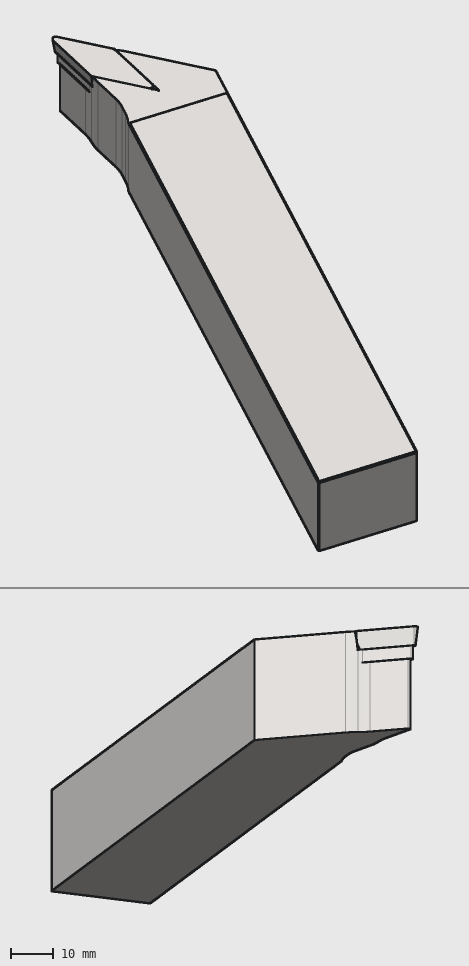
import cadquery as cq
import math

LENGTH = 150.0
SHANK = 25.0
SHANK_START = 31.0
SHANK_CHAMFER = 0.3

OVERHANG = 6.9
POINT_ANGLE = 35.0
LOW_EDGE_ANGLE = 17.5
INSERT_SIDE = 16.5
INSERT_THICKNESS = 4.5
NOSE_RADIUS = 0.8
CLEARANCE_ANGLE = 7.0

SEAT_THICKNESS = 3.2
SEAT_INSET = 0.68
SEAT_NOSE_RADIUS = 0.38
BLADE_INSET = 0.84
BLADE_NOSE_RADIUS = 0.5
BLEND_START = 13.4
BLEND_LENGTH = 5.7

HOLLOW_START = 23.1
HOLLOW_FLAT_START = 25.8
HOLLOW_FLAT_END = 28.0

HEAD_TOP = SHANK - SHANK_CHAMFER
INSERT_FLOOR = HEAD_TOP - INSERT_THICKNESS
HIGH_EDGE_ANGLE = LOW_EDGE_ANGLE + POINT_ANGLE
HALF_POINT = math.radians(POINT_ANGLE / 2)
AXIS_ANGLE = math.radians(LOW_EDGE_ANGLE) + HALF_POINT
NOSE_REACH = NOSE_RADIUS / math.sin(HALF_POINT)
TIP_X = NOSE_RADIUS - NOSE_REACH * math.cos(AXIS_ANGLE)
TIP_Y = NOSE_RADIUS - OVERHANG - NOSE_REACH * math.sin(AXIS_ANGLE)


def edge_point(angle, distance, inset):
    """Point along a cutting edge from the sharp tip, moved inward by inset."""
    turn = math.radians(angle)
    inward = 1 if angle == LOW_EDGE_ANGLE else -1
    x = TIP_X + distance * math.cos(turn) - inward * inset * math.sin(turn)
    y = TIP_Y + distance * math.sin(turn) + inward * inset * math.cos(turn)
    return x, y


def rhombus(inset):
    """Corners of the insert outline with every side moved inward by inset."""
    near = inset / math.tan(HALF_POINT)
    far = INSERT_SIDE - inset * math.tan(HALF_POINT)
    tip = edge_point(LOW_EDGE_ANGLE, near, inset)
    low = edge_point(LOW_EDGE_ANGLE, far, inset)
    high = edge_point(HIGH_EDGE_ANGLE, far, inset)
    end = (low[0] + high[0] - tip[0], low[1] + high[1] - tip[1])
    return [tip, low, end, high]


def tapered_rhombus():
    """Sharp-cornered insert shape, narrowing downward from the top face."""
    floor_inset = INSERT_THICKNESS * math.tan(math.radians(CLEARANCE_ANGLE))
    return (
        cq.Workplane("XY").workplane(offset=INSERT_FLOOR)
        .polyline(rhombus(floor_inset)).close()
        .workplane(offset=INSERT_THICKNESS)
        .polyline(rhombus(0)).close()
        .loft(ruled=True)
    )


def nose_arc(inset, radius):
    """Start, middle and end of the nose arc, from the high to the low edge."""
    start_distance = (inset + radius) / math.tan(HALF_POINT)
    reach = (inset + radius) / math.sin(HALF_POINT) - radius
    middle = (TIP_X + reach * math.cos(AXIS_ANGLE), TIP_Y + reach * math.sin(AXIS_ANGLE))
    start = edge_point(HIGH_EDGE_ANGLE, start_distance, inset)
    end = edge_point(LOW_EDGE_ANGLE, start_distance, inset)
    return start, middle, end


def rounding_arcs():
    """Rounding arcs at the insert's tip and, by half-turn symmetry, at its far end."""
    tip, _, end, _ = rhombus(0)
    tip_arc = nose_arc(0, NOSE_RADIUS)
    end_arc = [(tip[0] + end[0] - x, tip[1] + end[1] - y) for x, y in tip_arc]
    return tip_arc, end_arc


def make_insert():
    """Insert with its sides sloping inward and its two acute corners rounded."""
    tip_rounding, end_rounding = rounding_arcs()
    return (
        cq.Workplane("XY").workplane(offset=HEAD_TOP)
        .moveTo(*tip_rounding[0])
        .threePointArc(*tip_rounding[1:])
        .lineTo(*rhombus(0)[1])
        .lineTo(*end_rounding[0])
        .threePointArc(*end_rounding[1:])
        .lineTo(*rhombus(0)[3])
        .close().extrude(-INSERT_THICKNESS, taper=CLEARANCE_ANGLE)
    )


def make_head():
    """Head with a set-back blade that swells out to the line of the insert edges."""
    def blend(angle):
        half = BLEND_LENGTH / 2
        return [
            edge_point(angle, BLEND_START, BLADE_INSET),
            edge_point(angle, BLEND_START + half, BLADE_INSET / 2),
            edge_point(angle, BLEND_START + BLEND_LENGTH, 0),
        ]

    low_start, low_middle, low_end = blend(LOW_EDGE_ANGLE)
    high_start, high_middle, high_end = blend(HIGH_EDGE_ANGLE)
    nose_start, nose_middle, nose_end = nose_arc(BLADE_INSET, BLADE_NOSE_RADIUS)
    low_slope = math.tan(math.radians(LOW_EDGE_ANGLE))
    high_slope = math.tan(math.radians(HIGH_EDGE_ANGLE))
    hollow_y = TIP_Y + (HOLLOW_START - TIP_X) * low_slope
    hollow_run = HOLLOW_FLAT_START - HOLLOW_START
    hollow_depth = hollow_y + hollow_run * math.tan(math.radians(LOW_EDGE_ANGLE / 2))
    high_x = TIP_X + (SHANK - TIP_Y) / high_slope
    return (
        cq.Workplane("XY").moveTo(*nose_start)
        .threePointArc(nose_middle, nose_end)
        .lineTo(*low_start)
        .tangentArcPoint(low_middle, relative=False)
        .tangentArcPoint(low_end, relative=False)
        .lineTo(HOLLOW_START, hollow_y)
        .tangentArcPoint((HOLLOW_FLAT_START, hollow_depth), relative=False)
        .lineTo(HOLLOW_FLAT_END, hollow_depth)
        .tangentArcPoint((SHANK_START, 0), relative=False)
        .lineTo(SHANK_START, SHANK)
        .lineTo(high_x, SHANK)
        .lineTo(*high_end)
        .tangentArcPoint(high_middle, relative=False)
        .tangentArcPoint(high_start, relative=False)
        .close().extrude(HEAD_TOP)
    )


def make_shank():
    """Square bar, chamfered around its top face and on its two rear upright edges."""
    return (
        cq.Workplane("XY").box(LENGTH - SHANK_START, SHANK, SHANK, centered=False)
        .translate((SHANK_START, 0, 0))
        .edges(">Z or (|Z and >X)").chamfer(SHANK_CHAMFER)
    )


def make_seat():
    """Ledge that carries the insert."""
    return (
        cq.Workplane("XY").workplane(offset=INSERT_FLOOR - SEAT_THICKNESS)
        .polyline(rhombus(SEAT_INSET)).close().extrude(SEAT_THICKNESS)
        .edges("|Z and <X").fillet(SEAT_NOSE_RADIUS)
    )


holder = make_head().union(make_seat()).union(make_shank())
holder = holder.cut(tapered_rhombus())

insert = make_insert()

result = cq.Compound.makeCompound([holder.val(), insert.val()])